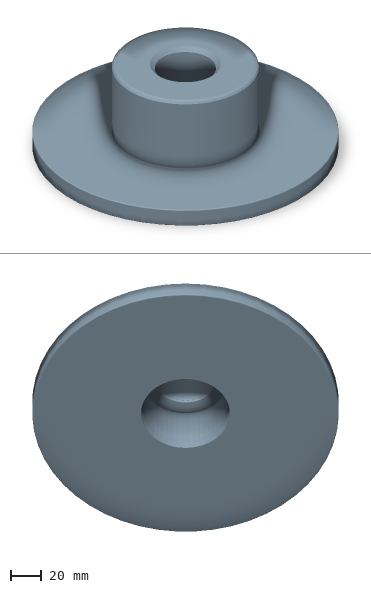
import cadquery as cq

disc_diameter = 200.0
disc_thickness = 12.0
rim_radius = 0.8

hub_diameter = 96.0
hub_top = 63.0
hub_land_diameter = 90.0
hub_shoulder_diameter = 94.0
hub_edge_height = 1.8
hub_shoulder_drop = 0.5
foot_diameter = 98.0
foot_radius = (foot_diameter - hub_diameter) / 2
bore_diameter = 40.0
bore_chamfer = 3.0

core_top = 38.0
core_wall = 2.2
core_hole_diameter = 40.2
core_cavity_diameter = 58.0
core_boss_diameter = core_cavity_diameter + 2 * core_wall
flange_diameter = 195.5
flange_edge_radius = 1.0
flange_cover = 0.5
flange_top = disc_thickness - flange_cover


def turn(profile):
    """Revolve a closed radius-height profile about the Z axis."""
    return profile.close().revolve(360, (0, 0), (0, 1))


def make_core():
    """Flange with a hollow boss whose closed end has a round hole."""
    flange_radius = flange_diameter / 2
    profile = (
        cq.Workplane("XZ")
        .moveTo(core_cavity_diameter / 2, 0)
        .lineTo(flange_radius, 0)
        .lineTo(flange_radius, flange_top - flange_edge_radius)
        .radiusArc((flange_radius - flange_edge_radius, flange_top), -flange_edge_radius)
        .lineTo(core_boss_diameter / 2, flange_top)
        .lineTo(core_boss_diameter / 2, core_top)
        .lineTo(core_hole_diameter / 2, core_top)
        .lineTo(core_hole_diameter / 2, core_top - core_wall)
        .lineTo(core_cavity_diameter / 2, core_top - core_wall)
    )
    return turn(profile)


def make_core_recess():
    """Space taken by the core, including its boss cavity and hole."""
    filled_boss = cq.Workplane("XY").circle(core_boss_diameter / 2).extrude(core_top)
    return make_core().union(filled_boss)


def make_housing():
    """Disc with rounded rims, a filleted foot and a bored hub, recessed from below for the core."""
    disc_radius = disc_diameter / 2
    hub_radius = hub_diameter / 2
    bore_radius = bore_diameter / 2
    profile = (
        cq.Workplane("XZ")
        .moveTo(bore_radius, 0)
        .lineTo(disc_radius - rim_radius, 0)
        .radiusArc((disc_radius, rim_radius), -rim_radius)
        .lineTo(disc_radius, disc_thickness - rim_radius)
        .radiusArc((disc_radius - rim_radius, disc_thickness), -rim_radius)
        .lineTo(foot_diameter / 2, disc_thickness)
        .radiusArc((hub_radius, disc_thickness + foot_radius), foot_radius)
        .lineTo(hub_radius, hub_top - hub_edge_height)
        .lineTo(hub_shoulder_diameter / 2, hub_top - hub_shoulder_drop)
        .lineTo(hub_land_diameter / 2, hub_top)
        .lineTo(bore_radius + bore_chamfer, hub_top)
        .lineTo(bore_radius, hub_top - bore_chamfer)
    )
    return turn(profile).cut(make_core_recess())


core = make_core()
housing = make_housing()

result = cq.Compound.makeCompound([housing.val(), core.val()])